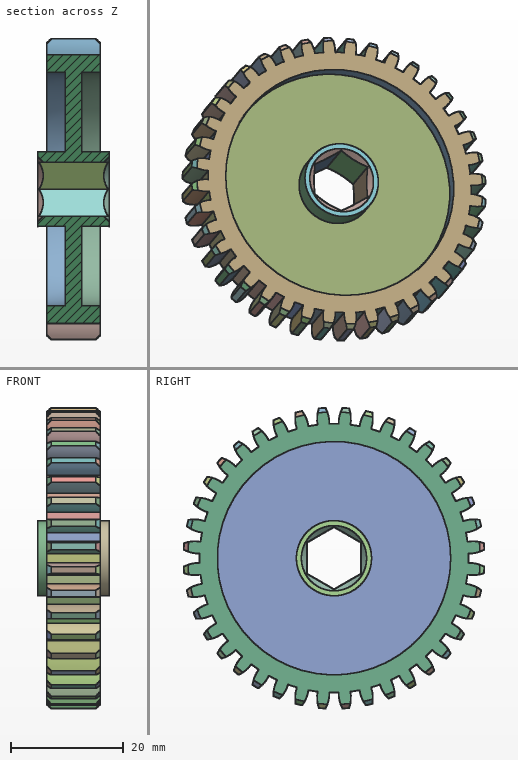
import cadquery as cq
import math

tooth_count = 40
tip_to_tip_diameter = 53.35
module = tip_to_tip_diameter / (tooth_count + 2)
pressure_angle = math.radians(14.5)
dedendum = 1.25 * module
tip_chamfer = 0.8

face_width = 9.55
hub_length = 12.7
hub_diameter = 13.3
recess_diameter = 41.3
recess_depth = 3.3

hex_across_flats = 9.55
bore_mouth_diameter = 11.55
bore_mouth_half_angle = math.radians(45)

pitch_radius = module * tooth_count / 2
tip_radius = tip_to_tip_diameter / 2
root_radius = pitch_radius - dedendum
base_radius = pitch_radius * math.cos(pressure_angle)
tooth_pitch = 2 * math.pi / tooth_count


def involute(angle):
    return math.tan(angle) - angle


def polar(radius, angle):
    return (radius * math.cos(angle), radius * math.sin(angle))


def half_tooth_angle(radius):
    """Half of the angle that a tooth spans at a radius on its involute flank."""
    half_at_pitch = tooth_pitch / 4
    return half_at_pitch + involute(pressure_angle) - involute(math.acos(base_radius / radius))


def tooth_blank():
    """Solid with the full tooth outline; each flank is an arc through root, pitch and tip points."""
    flanks = [
        (root_radius, half_tooth_angle(base_radius)),
        (pitch_radius, half_tooth_angle(pitch_radius)),
        (tip_radius, half_tooth_angle(tip_radius)),
    ]
    root_half_angle = flanks[0][1]
    first_root = polar(root_radius, tooth_pitch / 2 - root_half_angle)

    outline = cq.Workplane("YZ", origin=(-face_width / 2, 0, 0)).moveTo(*first_root)
    for tooth in range(tooth_count):
        middle = (tooth + 0.5) * tooth_pitch
        next_gap = middle + tooth_pitch / 2
        rising = [polar(radius, middle - half_angle) for radius, half_angle in flanks]
        falling = [polar(radius, middle + half_angle) for radius, half_angle in flanks]
        next_root = polar(root_radius, next_gap + tooth_pitch / 2 - root_half_angle)
        outline = (
            outline.threePointArc(rising[1], rising[2])
            .threePointArc(polar(tip_radius, middle), falling[2])
            .threePointArc(falling[1], falling[0])
            .threePointArc(polar(root_radius, next_gap), next_root)
        )
    return outline.close().extrude(face_width)


def cylinder(diameter, length):
    """Cylinder on the gear axis, centred on the origin."""
    return cq.Workplane("YZ", origin=(-length / 2, 0, 0)).circle(diameter / 2).extrude(length)


def chamfered_teeth():
    """Teeth with their tips bevelled at both ends."""
    envelope = cylinder(2 * tip_radius, face_width).edges().chamfer(tip_chamfer)
    return tooth_blank().intersect(envelope)


def recess(side):
    """Round pocket in the gear face on the given side (+1 or -1 along X)."""
    floor = face_width / 2 - recess_depth
    return (
        cq.Workplane("YZ", origin=(side * floor, 0, 0))
        .circle(recess_diameter / 2)
        .extrude(side * recess_depth)
    )


def hex_bore():
    """Through hexagon with two corners on the Z axis."""
    half_side_angle = math.pi / 6
    corner_diameter = hex_across_flats / math.cos(half_side_angle)
    return (
        cq.Workplane("YZ", origin=(-hub_length / 2, 0, 0))
        .polygon(6, corner_diameter)
        .extrude(hub_length)
        .rotate((0, 0, 0), (1, 0, 0), math.degrees(half_side_angle))
    )


def bore_mouth(side):
    """Conical lead-in that narrows from the hub end to the flats of the hexagon."""
    mouth_radius = bore_mouth_diameter / 2
    flat_radius = hex_across_flats / 2
    depth = (mouth_radius - flat_radius) / math.tan(bore_mouth_half_angle)
    end = side * hub_length / 2
    inner = end - side * depth
    return (
        cq.Workplane("XY")
        .polyline([(end, 0), (end, mouth_radius), (inner, flat_radius), (inner, 0)])
        .close()
        .revolve(360, (0, 0, 0), (1, 0, 0))
    )


result = chamfered_teeth()
for side in (-1, 1):
    result = result.cut(recess(side))
result = result.union(cylinder(hub_diameter, hub_length)).cut(hex_bore())
for side in (-1, 1):
    result = result.cut(bore_mouth(side))